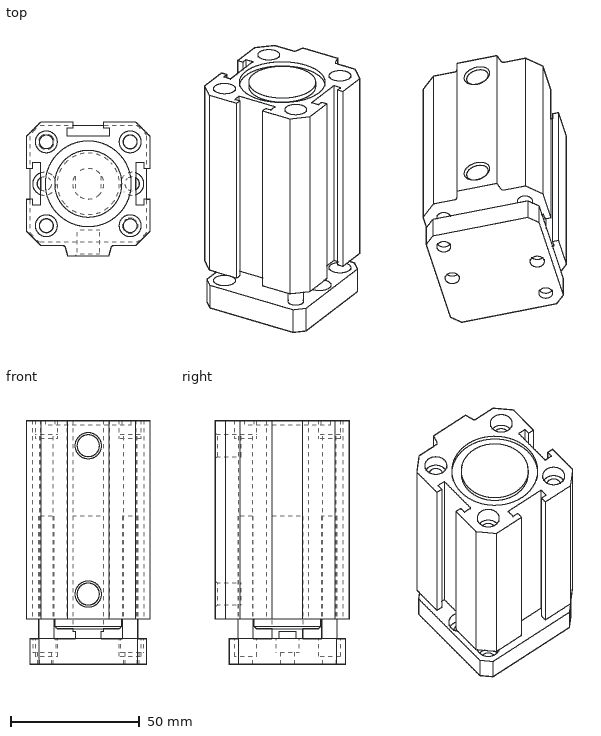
import cadquery as cq
import math


plate_thickness = 10
plate_gap = 7.5
housing_height = 77
housing_bottom = plate_thickness + plate_gap
housing_top = housing_bottom + housing_height

housing_width = 48
housing_half = housing_width / 2
housing_corner_chamfer = 5.6

pad_height = 4
pad_half_width = 8
pad_slope = math.radians(15)
pad_foot_half_width = pad_half_width + pad_height * math.tan(pad_slope)
pad_foot_radius = 1

port_diameter = 8.57
port_mouth_diameter = 10.2
port_chamfer = (port_mouth_diameter - port_diameter) / 2
port_depth = 10
port_inset = 9.75

slot_neck_width = 11.8
slot_neck_depth = 2.4
slot_depth = 5.5
slot_width = 16.4

recess_diameter = 33.3
recess_depth = 1.8
disc_diameter = 26

collar_diameter = 26
collar_height = 3.75
collar_chamfer = 1

corner_offset = 16.25
bolt_hole_diameter = 5.3
counterbore_diameter = 8.5
bolt_counterbore_depth = 7
guide_counterbore_depth = 5.5
bolt_corners = [(-corner_offset, -corner_offset), (corner_offset, corner_offset)]
guide_corners = [(-corner_offset, corner_offset), (corner_offset, -corner_offset)]

plate_width = 45.2
plate_corner_chamfer = 3.6
side_hole_offset = 17
side_hole_diameter = 5.5
side_counterbore_diameter = 9
side_counterbore_depth = 5.5
side_holes = [(-side_hole_offset, 0), (side_hole_offset, 0)]

guide_rod_diameter = 6
piston_rod_diameter = 12
rod_flat_width = 10
rod_flat_height = 2.7
rod_engagement = 40
rod_top = housing_bottom + rod_engagement


def vertical_cylinder(points, diameter, bottom, top):
    """Upright cylinders standing on the given XY points."""
    base = cq.Workplane("XY").workplane(offset=bottom)
    return base.pushPoints(points).circle(diameter / 2).extrude(top - bottom)


def rod_shapes():
    """Piston rod and guide rods at full diameter, from the plate up into the housing."""
    piston_rod = vertical_cylinder([(0, 0)], piston_rod_diameter, plate_thickness, rod_top)
    guide_rods = vertical_cylinder(guide_corners, guide_rod_diameter, plate_thickness, rod_top)
    return piston_rod, guide_rods


def slot_cutter(angle):
    """T-slot along the full housing height, on the +X face turned by the angle about Z."""
    section = [
        (housing_half, slot_neck_width / 2),
        (housing_half - slot_neck_depth, slot_neck_width / 2),
        (housing_half - slot_neck_depth, slot_width / 2),
        (housing_half - slot_depth, slot_width / 2),
    ]
    mirrored = [(x, -y) for x, y in reversed(section)]
    cutter = cq.Workplane("XY").workplane(offset=housing_bottom)
    cutter = cutter.polyline(section + mirrored).close().extrude(housing_height)
    return cutter.rotate((0, 0, 0), (0, 0, 1), angle)


def port_pad():
    """Tapered pad that reaches into the housing down to the T-slot depth."""
    face_y = -housing_half - pad_height
    root_y = -housing_half + slot_depth
    outline = [
        (-pad_half_width, face_y),
        (pad_half_width, face_y),
        (pad_foot_half_width, -housing_half),
        (pad_foot_half_width, root_y),
        (-pad_foot_half_width, root_y),
        (-pad_foot_half_width, -housing_half),
    ]
    pad = cq.Workplane("XY").workplane(offset=housing_bottom)
    return pad.polyline(outline).close().extrude(housing_height)


def housing_profile():
    """Chamfered square bar with the filleted port pad."""
    bar = cq.Workplane("XY").box(housing_width, housing_width, housing_height, centered=(True, True, False))
    bar = bar.translate((0, 0, housing_bottom))
    bar = bar.edges("|Z").chamfer(housing_corner_chamfer)
    profile = bar.union(port_pad())
    for side in (-1, 1):
        foot = (side * pad_foot_half_width, -housing_half, housing_bottom + housing_height / 2)
        profile = profile.edges(cq.selectors.NearestToPointSelector(foot)).fillet(pad_foot_radius)
    return profile


def port_cutter(z):
    """Blind air port with a chamfered mouth, running in +Y from the pad face."""
    face = cq.Workplane("XZ", origin=(0, -housing_half - pad_height, z))
    bore = face.circle(port_diameter / 2).extrude(-port_depth)
    mouth = cq.Solid.makeCone(
        port_mouth_diameter / 2,
        port_diameter / 2,
        port_chamfer,
        pnt=cq.Vector(0, -housing_half - pad_height, z),
        dir=cq.Vector(0, 1, 0),
    )
    return bore.union(cq.Workplane(mouth))


def make_housing():
    housing = housing_profile()

    for angle in (0, 90, 180):
        housing = housing.cut(slot_cutter(angle))

    for z in (housing_bottom + port_inset, housing_top - port_inset):
        housing = housing.cut(port_cutter(z))

    recess = cq.Workplane("XY").workplane(offset=housing_top)
    recess = recess.circle(recess_diameter / 2).circle(disc_diameter / 2).extrude(-recess_depth)
    housing = housing.cut(recess)

    collar = vertical_cylinder([(0, 0)], collar_diameter, housing_bottom - collar_height, housing_bottom)
    collar = collar.faces("<Z").edges().chamfer(collar_chamfer)
    housing = housing.union(collar)

    corner_sets = (
        (bolt_corners, bolt_counterbore_depth, housing_bottom),
        (guide_corners, guide_counterbore_depth, rod_top),
    )
    for corners, counterbore_depth, hole_bottom in corner_sets:
        counterbore_floor = housing_top - counterbore_depth
        housing = housing.cut(vertical_cylinder(corners, bolt_hole_diameter, hole_bottom, housing_top))
        housing = housing.cut(vertical_cylinder(corners, counterbore_diameter, counterbore_floor, housing_top))

    for rod in rod_shapes():
        housing = housing.cut(rod)
    return housing


def make_tool_plate():
    plate = cq.Workplane("XY").box(plate_width, plate_width, plate_thickness, centered=(True, True, False))
    plate = plate.edges("|Z").chamfer(plate_corner_chamfer)

    plate = plate.cut(vertical_cylinder(bolt_corners, bolt_hole_diameter, 0, plate_thickness))
    access_floor = plate_thickness - bolt_counterbore_depth
    plate = plate.cut(vertical_cylinder(bolt_corners, counterbore_diameter, access_floor, plate_thickness))

    plate = plate.cut(vertical_cylinder(side_holes, side_hole_diameter, 0, plate_thickness))
    side_floor = plate_thickness - side_counterbore_depth
    plate = plate.cut(vertical_cylinder(side_holes, side_counterbore_diameter, side_floor, plate_thickness))

    piston_rod, guide_rods = rod_shapes()
    foot = cq.Workplane("XY").workplane(offset=plate_thickness)
    flats = foot.rect(2 * piston_rod_diameter, piston_rod_diameter)
    flats = flats.rect(rod_flat_width, piston_rod_diameter).extrude(rod_flat_height)
    return plate.union(piston_rod.cut(flats)).union(guide_rods)


housing = make_housing()
tool_plate = make_tool_plate()

result = cq.Compound.makeCompound([housing.val(), tool_plate.val()])